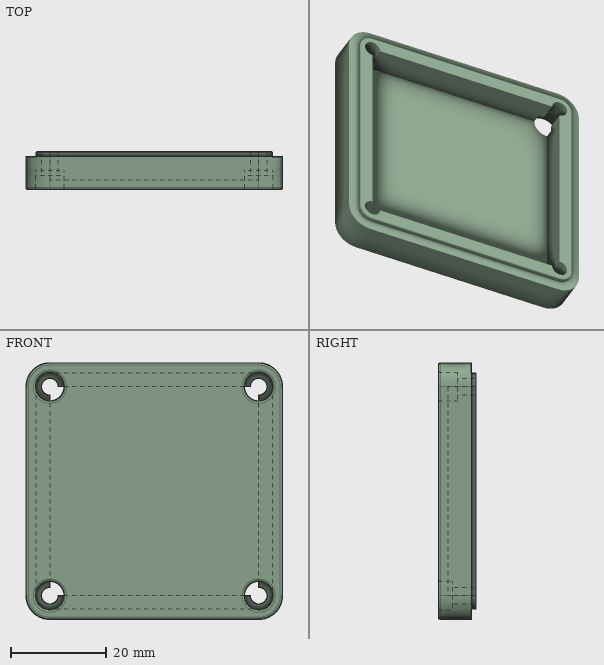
import cadquery as cq

side = 54.0
total_depth = 8.0
corner_radius = 5.0
front_edge_fillet = 0.5

lip_height = 1.0
lip_inset = 2.15
lip_edge_fillet = 0.2
body_depth = total_depth - lip_height

screw_diameter = 3.5
counterbore_diameter = 6.0
upper_counterbore_depth = 4.0
lower_counterbore_depth = 3.0
counterbore_rim_fillet = 0.5
screw_spacing = side - 2 * corner_radius

pocket_side = screw_spacing
front_wall = 2.0

front_y = -total_depth / 2
lip_base_y = front_y + body_depth


def plane_at(y):
    """Plane parallel to the front face; negative extrusions run toward the back."""
    return cq.Workplane("XZ", origin=(0, y, 0))


def rounded_square(y, width, radius, depth):
    """Square block with rounded corners, extruded toward +Y."""
    return plane_at(y).rect(width, width).extrude(-depth).edges("|Y").fillet(radius)


def screw_pair(z, diameter, depth):
    """Two cylinders on the screw axes at height z, starting at the front face."""
    centers = [(-screw_spacing / 2, z), (screw_spacing / 2, z)]
    return plane_at(front_y).pushPoints(centers).circle(diameter / 2).extrude(-depth)


body = rounded_square(front_y, side, corner_radius, body_depth)
body = body.faces("<Y").edges().fillet(front_edge_fillet)

lip_side = side - 2 * lip_inset
lip = rounded_square(lip_base_y, lip_side, corner_radius - lip_inset, lip_height)
lip = lip.faces(">Y").edges().fillet(lip_edge_fillet)

cover = body.union(lip)
upper_z = screw_spacing / 2
lower_z = -upper_z
cover = cover.cut(screw_pair(upper_z, counterbore_diameter, upper_counterbore_depth))
cover = cover.cut(screw_pair(lower_z, counterbore_diameter, lower_counterbore_depth))
smallest_circles = cq.selectors.RadiusNthSelector(0)
rims = cover.faces("<Y").edges("%CIRCLE").edges(smallest_circles)
cover = rims.fillet(counterbore_rim_fillet)

for screw_z in (upper_z, lower_z):
    cover = cover.cut(screw_pair(screw_z, screw_diameter, total_depth))

pocket = (
    plane_at(front_y + front_wall)
    .rect(pocket_side, pocket_side)
    .extrude(front_wall - total_depth)
)
result = cover.cut(pocket)